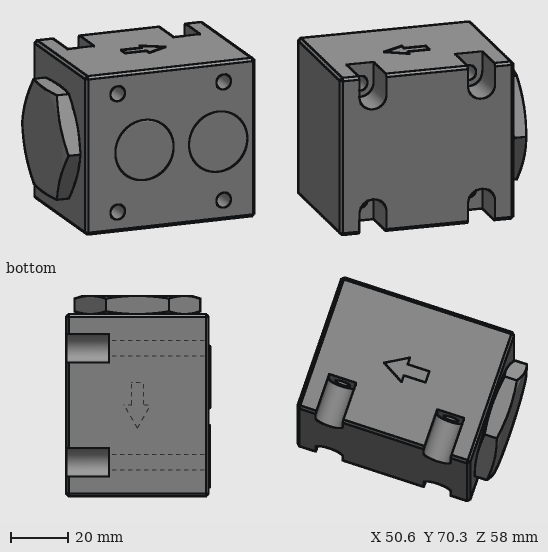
import cadquery as cq
import math

BODY_X = 50.0
BODY_Y = 64.0
BODY_Z = 58.0
BODY_CHAMFER = 1.0

TOTAL_Y = 70.3
HEX_LENGTH = TOTAL_Y - BODY_Y
HEX_ACROSS_FLATS = 38.25
HEX_ACROSS_CORNERS = HEX_ACROSS_FLATS / math.cos(math.radians(30))
HEX_CHAMFER_ANGLE = 17.0

HOLE_DIAMETER = 5.5
HOLE_SPACING_Y = 40.0
HOLE_SPACING_Z = 43.2
SLOT_WIDTH = 10.0
SLOT_DEPTH = 15.0

PLUG_DIAMETER = 22.0
PLUG_SEAT_DEPTH = 0.7
FRONT_PLUG_Y = -9.9
FRONT_PLUG_HEIGHT = 0.6
REAR_PLUG_Y = 17.9
REAR_PLUG_HEIGHT = 0.5

ARROW_HEAD_WIDTH = 9.3
ARROW_HEAD_LENGTH = 8.0
ARROW_SHAFT_WIDTH = 4.2
ARROW_SHAFT_LENGTH = 8.0
ARROW_DEPTH = 0.2


def make_body():
    return cq.Workplane("XY").box(BODY_X, BODY_Y, BODY_Z).edges().chamfer(BODY_CHAMFER)


def make_hex_plug():
    """Hexagonal head with the corners cut to a shallow cone at both ends."""
    front_y = -BODY_Y / 2 - HEX_LENGTH
    prism = (
        cq.Workplane("XZ", origin=(0, -BODY_Y / 2, 0))
        .polygon(6, HEX_ACROSS_CORNERS)
        .extrude(HEX_LENGTH)
    )
    flat_radius = HEX_ACROSS_FLATS / 2
    corner_radius = HEX_ACROSS_CORNERS / 2
    cone_depth = (corner_radius - flat_radius) * math.tan(math.radians(HEX_CHAMFER_ANGLE))
    envelope = (
        cq.Workplane("XY")
        .moveTo(0, front_y)
        .lineTo(flat_radius, front_y)
        .lineTo(corner_radius, front_y + cone_depth)
        .lineTo(corner_radius, -BODY_Y / 2 - cone_depth)
        .lineTo(flat_radius, -BODY_Y / 2)
        .lineTo(0, -BODY_Y / 2)
        .close()
        .revolve(360, (0, 0, 0), (0, 1, 0))
    )
    return prism.intersect(envelope)


def make_round_plug(y, height):
    """Low round plug, seated in the body, whose rim is rounded over its whole visible height."""
    return (
        cq.Workplane("YZ", origin=(BODY_X / 2 - PLUG_SEAT_DEPTH, y, 0))
        .circle(PLUG_DIAMETER / 2)
        .extrude(PLUG_SEAT_DEPTH + height)
        .faces(">X")
        .edges()
        .fillet(height)
    )


def make_mounting_cut(y, side):
    """Through hole and its slot, which runs out of the top (side 1) or bottom (side -1)."""
    hole_z = side * HOLE_SPACING_Z / 2
    run_out = BODY_Z / 2 - HOLE_SPACING_Z / 2
    start = cq.Workplane("YZ", origin=(-BODY_X / 2, y, hole_z))
    hole = start.circle(HOLE_DIAMETER / 2).extrude(BODY_X)
    slot_end = start.circle(SLOT_WIDTH / 2).extrude(SLOT_DEPTH)
    slot_mouth = start.center(0, side * run_out / 2).rect(SLOT_WIDTH, run_out).extrude(SLOT_DEPTH)
    return hole.union(slot_end).union(slot_mouth)


def make_arrow():
    half_head = ARROW_HEAD_WIDTH / 2
    half_shaft = ARROW_SHAFT_WIDTH / 2
    return (
        cq.Workplane("XY", origin=(0, 0, BODY_Z / 2))
        .moveTo(0, ARROW_HEAD_LENGTH)
        .lineTo(half_head, 0)
        .lineTo(half_shaft, 0)
        .lineTo(half_shaft, -ARROW_SHAFT_LENGTH)
        .lineTo(-half_shaft, -ARROW_SHAFT_LENGTH)
        .lineTo(-half_shaft, 0)
        .lineTo(-half_head, 0)
        .close()
        .extrude(-ARROW_DEPTH)
    )


result = make_body().union(make_hex_plug())
result = result.union(make_round_plug(FRONT_PLUG_Y, FRONT_PLUG_HEIGHT))
result = result.union(make_round_plug(REAR_PLUG_Y, REAR_PLUG_HEIGHT))

for hole_y in (-HOLE_SPACING_Y / 2, HOLE_SPACING_Y / 2):
    for slot_side in (-1, 1):
        result = result.cut(make_mounting_cut(hole_y, slot_side))

result = result.cut(make_arrow())